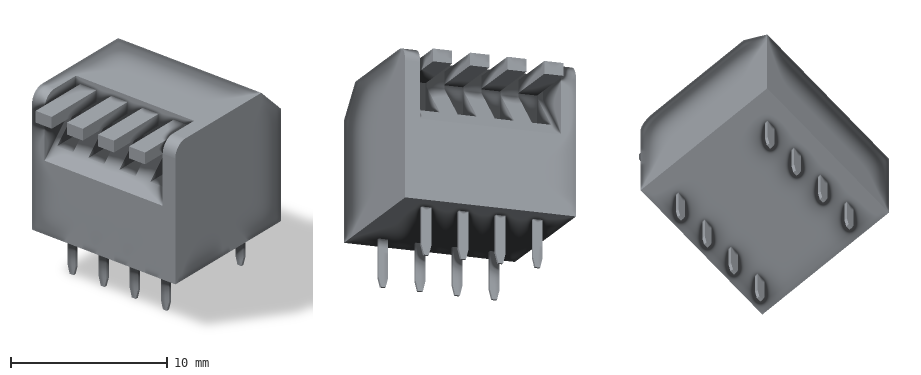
import cadquery as cq

width = 11.72
depth = 10.83
height = 10.2
rear_chamfer = 2.01
front_radius = 1.02

pitch = 2.55
switch_count = 4
switch_x = [(i - (switch_count - 1) / 2) * pitch for i in range(switch_count)]

side_wall = 1.03
pocket_depth = 3.22
pocket_wall_height = 1.61
pocket_width = width - 2 * side_wall

lever_width = 1.31
lever_height = 0.86
lever_drop = 0.48
lever_overhang = 1.37
slot_drop = 3.99
slot_recess = 0.11

overall_height = 13.4
pin_length = overall_height - height
pin_width = 0.65
pin_tip_width = 0.32
pin_taper = 0.64
pin_thickness = 0.21
row_spacing = 3 * pitch

front_y = -depth / 2
pocket_back_y = front_y + pocket_depth


def extrude_along_x(outline, length):
    """Solid centred on X = 0 from an outline of (Y, Z) points."""
    return cq.Workplane("YZ").polyline(outline).close().extrude(length / 2, both=True)


def make_housing():
    block = cq.Workplane("XY").box(width, depth, height, centered=(True, True, False))
    block = block.edges(">Y and >Z").chamfer(rear_chamfer)
    return block.edges("<Y and >Z").fillet(front_radius)


def make_pocket():
    ramp_top = height - pocket_wall_height
    ramp_bottom = ramp_top - pocket_depth
    outline = [
        (pocket_back_y, height),
        (pocket_back_y, ramp_top),
        (front_y, ramp_bottom),
        (front_y, height),
    ]
    return extrude_along_x(outline, pocket_width)


def make_slot():
    top = height - lever_drop - lever_height
    bottom = height - slot_drop
    back_y = pocket_back_y + slot_recess
    outline = [(back_y, top), (back_y, bottom), (front_y, bottom), (front_y, top)]
    return extrude_along_x(outline, lever_width)


def make_lever():
    top = height - lever_drop
    bottom = top - lever_height
    tip_y = front_y - lever_overhang
    outline = [(pocket_back_y, top), (pocket_back_y, bottom), (tip_y, bottom), (tip_y, top)]
    return extrude_along_x(outline, lever_width)


def make_pin():
    outline = [
        (-pin_width / 2, 0),
        (pin_width / 2, 0),
        (pin_width / 2, pin_taper - pin_length),
        (pin_tip_width / 2, -pin_length),
        (-pin_tip_width / 2, -pin_length),
        (-pin_width / 2, pin_taper - pin_length),
    ]
    return cq.Workplane("XZ").polyline(outline).close().extrude(pin_thickness / 2, both=True)


result = make_housing().cut(make_pocket())
for x in switch_x:
    result = result.cut(make_slot().translate((x, 0, 0)))
    result = result.union(make_lever().translate((x, 0, 0)))
    for row_y in (-row_spacing / 2, row_spacing / 2):
        result = result.union(make_pin().translate((x, row_y, 0)))